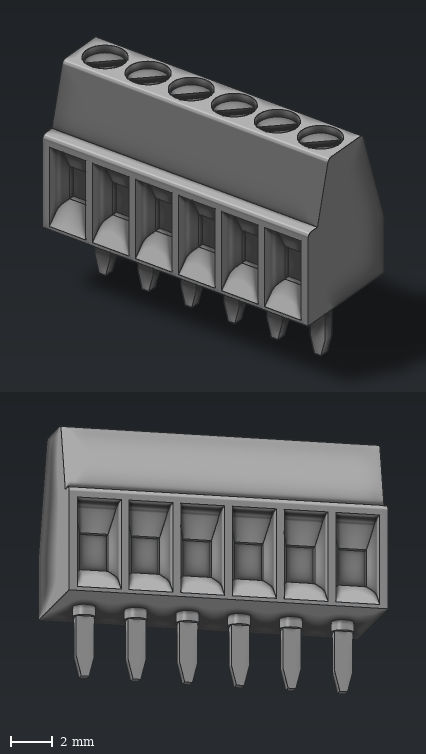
import cadquery as cq
import math


POLE_COUNT = 6
PITCH = 2.55
POLE_XS = [(i - (POLE_COUNT - 1) / 2) * PITCH for i in range(POLE_COUNT)]

LENGTH = 15.7
DEPTH = 6.2
HEIGHT = 8.53
FRONT_Y = -DEPTH / 2
REAR_Y = DEPTH / 2
REAR_WALL_HEIGHT = 3.14
SHELF_HEIGHT = 5.15
SHELF_DEPTH = 0.77
TOP_FRONT_SETBACK = 1.66
TOP_REAR_SETBACK = 1.75
EDGE_RADIUS = 0.3
TOP_FRONT_Y = FRONT_Y + TOP_FRONT_SETBACK
TOP_REAR_Y = REAR_Y - TOP_REAR_SETBACK

SCREW_Y = (TOP_FRONT_Y + TOP_REAR_Y) / 2
SCREW_RADIUS = 1.05
SCREW_CLEARANCE = 0.05
SCREW_RECESS = 0.4
SLOT_WIDTH = 0.5
SLOT_DEPTH = 0.55
SLOT_ANGLE = 45

ENTRY_WIDTH = 2.15
ENTRY_SILL = 0.19
ENTRY_TOP = 4.6
ENTRY_STRAIGHT_DEPTH = 0.55
SIDE_RADIUS = 0.5
ROOF_RADIUS = 0.45
THROAT_WIDTH = 1.4
THROAT_SILL = 1.32
THROAT_TOP = 3.14
THROAT_LENGTH = 0.31
FUNNEL_DEPTH = THROAT_SILL - ENTRY_SILL
ROOF_LEAN = math.radians(15)

POST_RADIUS = 0.52
POST_Y = 1.59
POST_SHOULDER = 7.22

COLLAR_RADIUS = 0.55
COLLAR_HEIGHT = 0.5
PIN_LENGTH = 3.47
PIN_WIDTH = 0.9
PIN_THICKNESS = 0.53
PIN_TIP_WIDTH = 0.4
PIN_TIP_HEIGHT = 0.97


def at_every_pole(solid):
    """Copies of a solid made at X = 0, one for each pole."""
    copies = cq.Workplane()
    for x in POLE_XS:
        copies = copies.add(solid.translate((x, 0, 0)).vals())
    return copies.combine()


def make_housing():
    profile = [
        (FRONT_Y, 0),
        (FRONT_Y, SHELF_HEIGHT),
        (FRONT_Y + SHELF_DEPTH, SHELF_HEIGHT),
        (TOP_FRONT_Y, HEIGHT),
        (TOP_REAR_Y, HEIGHT),
        (REAR_Y, REAR_WALL_HEIGHT),
        (REAR_Y, 0),
    ]
    block = cq.Workplane("YZ").polyline(profile).close().extrude(LENGTH / 2, both=True)
    rounded_corners = [(FRONT_Y, SHELF_HEIGHT), (TOP_FRONT_Y, HEIGHT), (TOP_REAR_Y, HEIGHT)]
    for y, z in rounded_corners:
        block = block.edges(cq.selectors.NearestToPointSelector((0, y, z))).fillet(EDGE_RADIUS)
    return block


def make_screw_recess():
    """The hole above and around a screw head, as deep as the driver slot in the head."""
    slot_z = HEIGHT - SCREW_RECESS - SLOT_DEPTH
    slot_floor = cq.Workplane("XY", origin=(0, SCREW_Y, slot_z))
    hole = slot_floor.circle(SCREW_RADIUS + SCREW_CLEARANCE).extrude(SCREW_RECESS + SLOT_DEPTH)
    head = slot_floor.circle(SCREW_RADIUS).extrude(SLOT_DEPTH)
    slot = (
        slot_floor.transformed(rotate=(0, 0, SLOT_ANGLE))
        .rect(2 * SCREW_RADIUS, SLOT_WIDTH)
        .extrude(SLOT_DEPTH)
    )
    return hole.cut(head.cut(slot))


def make_wire_entry():
    """A funnel that narrows to a blind throat: its plan and its section, crossed."""
    half_width = ENTRY_WIDTH / 2
    half_throat = THROAT_WIDTH / 2
    straight_y = FRONT_Y + ENTRY_STRAIGHT_DEPTH
    throat_y = FRONT_Y + FUNNEL_DEPTH
    back_y = throat_y + THROAT_LENGTH

    def side_arc_point(angle):
        x = half_width - SIDE_RADIUS * (1 - math.cos(angle))
        return x, straight_y + SIDE_RADIUS * math.sin(angle)

    arc_mid_x, arc_mid_y = side_arc_point(math.pi / 8)
    arc_end_x, arc_end_y = side_arc_point(math.pi / 4)
    plan = (
        cq.Workplane("XY")
        .moveTo(-half_width, FRONT_Y)
        .lineTo(half_width, FRONT_Y)
        .lineTo(half_width, straight_y)
        .threePointArc((arc_mid_x, arc_mid_y), (arc_end_x, arc_end_y))
        .lineTo(half_throat, throat_y)
        .lineTo(half_throat, back_y)
        .lineTo(-half_throat, back_y)
        .lineTo(-half_throat, throat_y)
        .lineTo(-arc_end_x, arc_end_y)
        .threePointArc((-arc_mid_x, arc_mid_y), (-half_width, straight_y))
        .close()
        .extrude(ENTRY_TOP)
    )

    roof_turn = math.pi / 2 - ROOF_LEAN
    roof_end_z = ENTRY_TOP - ROOF_RADIUS * (1 - math.cos(roof_turn))
    roof_end_y = throat_y - (roof_end_z - THROAT_TOP) * math.tan(ROOF_LEAN)
    level_end_y = roof_end_y - ROOF_RADIUS * math.sin(roof_turn)
    roof_mid = (
        level_end_y + ROOF_RADIUS * math.sin(roof_turn / 2),
        ENTRY_TOP - ROOF_RADIUS * (1 - math.cos(roof_turn / 2)),
    )
    section = (
        cq.Workplane("YZ")
        .moveTo(FRONT_Y, ENTRY_SILL)
        .lineTo(FRONT_Y, ENTRY_TOP)
        .lineTo(level_end_y, ENTRY_TOP)
        .threePointArc(roof_mid, (roof_end_y, roof_end_z))
        .lineTo(throat_y, THROAT_TOP)
        .lineTo(back_y, THROAT_TOP)
        .lineTo(back_y, THROAT_SILL)
        .lineTo(throat_y, THROAT_SILL)
        .close()
        .extrude(half_width, both=True)
    )
    return plan.intersect(section)


def make_post():
    post = cq.Workplane("XY", origin=(0, POST_Y, 0)).circle(POST_RADIUS).extrude(POST_SHOULDER)
    head = cq.Workplane("XY").sphere(POST_RADIUS).translate((0, POST_Y, POST_SHOULDER))
    return post.union(head)


def make_pin():
    collar = cq.Workplane("XY").circle(COLLAR_RADIUS).extrude(-COLLAR_HEIGHT)
    tip_start_z = PIN_TIP_HEIGHT - PIN_LENGTH
    outline = [
        (-PIN_WIDTH / 2, 0),
        (PIN_WIDTH / 2, 0),
        (PIN_WIDTH / 2, tip_start_z),
        (PIN_TIP_WIDTH / 2, -PIN_LENGTH),
        (-PIN_TIP_WIDTH / 2, -PIN_LENGTH),
        (-PIN_WIDTH / 2, tip_start_z),
    ]
    blade = cq.Workplane("XZ").polyline(outline).close().extrude(PIN_THICKNESS / 2, both=True)
    return collar.union(blade)


result = (
    make_housing()
    .union(at_every_pole(make_post()))
    .cut(at_every_pole(make_screw_recess()))
    .cut(at_every_pole(make_wire_entry()))
    .union(at_every_pole(make_pin()))
)